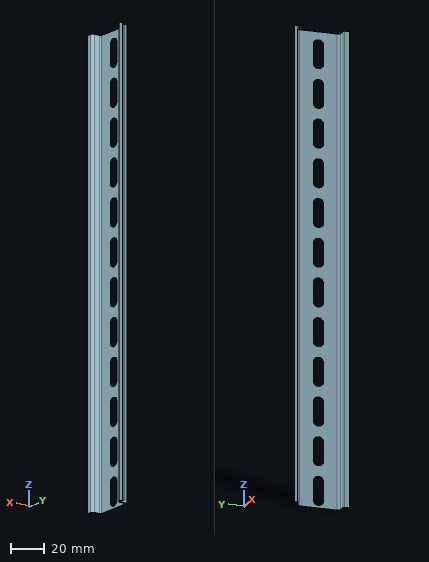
import cadquery as cq

rail_length = 300.0
rail_width = 35.0
rail_depth = 7.5
web_width = 27.2
sheet_thickness = 1.0

inner_bend_radius = 0.8
outer_bend_radius = inner_bend_radius + sheet_thickness

slot_length = 18.0
slot_width = 6.3
slot_pitch = 25.0
slot_count = 12
first_slot_center = 10.85


def make_rail():
    """Channel with outward lips, bent from sheet of constant thickness."""
    lip_inner_x = rail_depth - sheet_thickness
    wall_inner_y = web_width / 2 - sheet_thickness
    wall_outer_y = web_width / 2
    lip_end_y = rail_width / 2
    rail = (
        cq.Workplane("XY")
        .moveTo(0, -wall_outer_y)
        .lineTo(0, wall_outer_y)
        .lineTo(lip_inner_x, wall_outer_y)
        .lineTo(lip_inner_x, lip_end_y)
        .lineTo(rail_depth, lip_end_y)
        .lineTo(rail_depth, wall_inner_y)
        .lineTo(sheet_thickness, wall_inner_y)
        .lineTo(sheet_thickness, -wall_inner_y)
        .lineTo(rail_depth, -wall_inner_y)
        .lineTo(rail_depth, -lip_end_y)
        .lineTo(lip_inner_x, -lip_end_y)
        .lineTo(lip_inner_x, -wall_outer_y)
        .close()
        .extrude(rail_length)
    )
    outer_corners = [(0, wall_outer_y), (rail_depth, wall_inner_y)]
    inner_corners = [(sheet_thickness, wall_inner_y), (lip_inner_x, wall_outer_y)]
    rail = round_corners(rail, outer_corners, outer_bend_radius)
    return round_corners(rail, inner_corners, inner_bend_radius)


def round_corners(rail, corners, radius):
    """Fillet the long edges at the given (x, y) corners and their mirror images."""
    for x, y in corners:
        for side in (-1, 1):
            edge = cq.selectors.NearestToPointSelector((x, side * y, rail_length / 2))
            rail = rail.edges("|Z").edges(edge).fillet(radius)
    return rail


def make_slots():
    """Row of round-ended slots passing through the web."""
    centers = [(0, first_slot_center + i * slot_pitch) for i in range(slot_count)]
    return (
        cq.Workplane("YZ")
        .pushPoints(centers)
        .slot2D(slot_length, slot_width, 90)
        .extrude(sheet_thickness)
    )


result = make_rail().cut(make_slots())